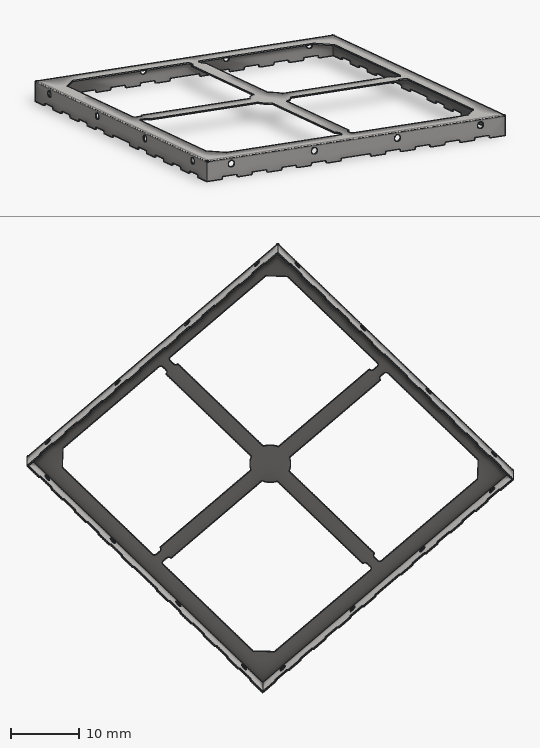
import cadquery as cq

side = 50.4
height = 3.2
sheet = 0.2
bend_radius = 0.25

hole_diameter = 1.0
hole_pitch = 14.0
hole_count = 4
hole_drop = 1.0

notch_depth = 0.4
notched_half_length = 22.55
notches_per_half = 4
tooth_round = 0.175

frame_width = 2.6
window_chamfer = 2.2
bar_width = 2.35
neck_width = 1.45
neck_straight = 0.7
neck_root_radius = 0.4
hub_diameter = 6.0

half_side = side / 2
half_window = half_side - frame_width
step = notched_half_length / (2 * notches_per_half + 1)
plate_bottom = height - sheet


def around_center(shape, quarter_turns):
    """Turn a shape about the Z axis by a number of quarter turns."""
    return shape.rotate((0, 0, 0), (0, 0, 1), 90 * quarter_turns)


def make_plate():
    """Top plate up to the bends, with one square opening that has chamfered corners."""
    base = cq.Workplane("XY").workplane(offset=plate_bottom)
    plate_side = side - 2 * bend_radius
    plate = base.rect(plate_side, plate_side).extrude(sheet)
    window = base.rect(2 * half_window, 2 * half_window).extrude(sheet)
    return plate.cut(window.edges("|Z").chamfer(window_chamfer))


def make_half_bar():
    """Bar from the centre to the frame on the +X side, with a round-ended neck next to the frame."""
    half_bar = bar_width / 2
    half_neck = neck_width / 2
    shoulder_radius = half_bar - half_neck
    shoulder_x = half_window - neck_root_radius - neck_straight
    root_x = half_window - neck_root_radius
    root_y = half_neck + neck_root_radius
    base = cq.Workplane("XY").workplane(offset=plate_bottom)
    upper_half = (
        base.moveTo(0, 0)
        .lineTo(0, half_bar)
        .lineTo(shoulder_x - shoulder_radius, half_bar)
        .radiusArc((shoulder_x, half_neck), -shoulder_radius)
        .lineTo(root_x, half_neck)
        .radiusArc((half_window, root_y), -neck_root_radius)
        .lineTo(half_side - bend_radius, root_y)
        .lineTo(half_side - bend_radius, 0)
        .close()
        .extrude(sheet)
    )
    return upper_half.union(upper_half.mirror("XZ"))


def make_hub():
    """Round pad where the four bars cross."""
    base = cq.Workplane("XY").workplane(offset=plate_bottom)
    return base.circle(hub_diameter / 2).extrude(sheet)


def make_flange():
    """Full-length flange on the +X side with its rounded bend into the top plate."""
    inner_x = half_side - sheet
    bend_x = half_side - bend_radius
    profile = (
        cq.Workplane("XZ")
        .moveTo(inner_x, 0)
        .lineTo(half_side, 0)
        .lineTo(half_side, height - bend_radius)
        .radiusArc((bend_x, height), -bend_radius)
        .lineTo(bend_x, plate_bottom)
        .lineTo(inner_x, plate_bottom)
        .close()
    )
    return profile.extrude(half_side, both=True)


def make_notch(center, width):
    """Cutter for one notch in the lower edge of both flanges facing Y, with rounded roots and tooth tips."""
    half = width / 2
    notch = (
        cq.Workplane("XZ", origin=(center, 0, 0))
        .moveTo(-half - tooth_round, 0)
        .radiusArc((-half, tooth_round), -tooth_round)
        .lineTo(-half, notch_depth - tooth_round)
        .radiusArc((-half + tooth_round, notch_depth), tooth_round)
        .lineTo(half - tooth_round, notch_depth)
        .radiusArc((half, notch_depth - tooth_round), tooth_round)
        .lineTo(half, tooth_round)
        .radiusArc((half + tooth_round, 0), -tooth_round)
        .close()
    )
    return notch.extrude(side, both=True)


def make_flange_cuts():
    """Cutters for the holes and notches of both flanges facing Y."""
    first_hole = -hole_pitch * (hole_count - 1) / 2
    hole_points = [(first_hole + i * hole_pitch, height - hole_drop) for i in range(hole_count)]
    cuts = cq.Workplane("XZ").pushPoints(hole_points).circle(hole_diameter / 2).extrude(side, both=True)
    cuts = cuts.union(make_notch(0, 2 * step))
    outermost_center = notched_half_length - step / 2
    for i in range(notches_per_half):
        center = outermost_center - 2 * step * i
        for direction in (-1, 1):
            cuts = cuts.union(make_notch(direction * center, step))
    return cuts


result = make_plate().union(make_hub())
for turns in range(4):
    result = result.union(around_center(make_half_bar(), turns))
    result = result.union(around_center(make_flange(), turns))
for turns in range(2):
    result = result.cut(around_center(make_flange_cuts(), turns))